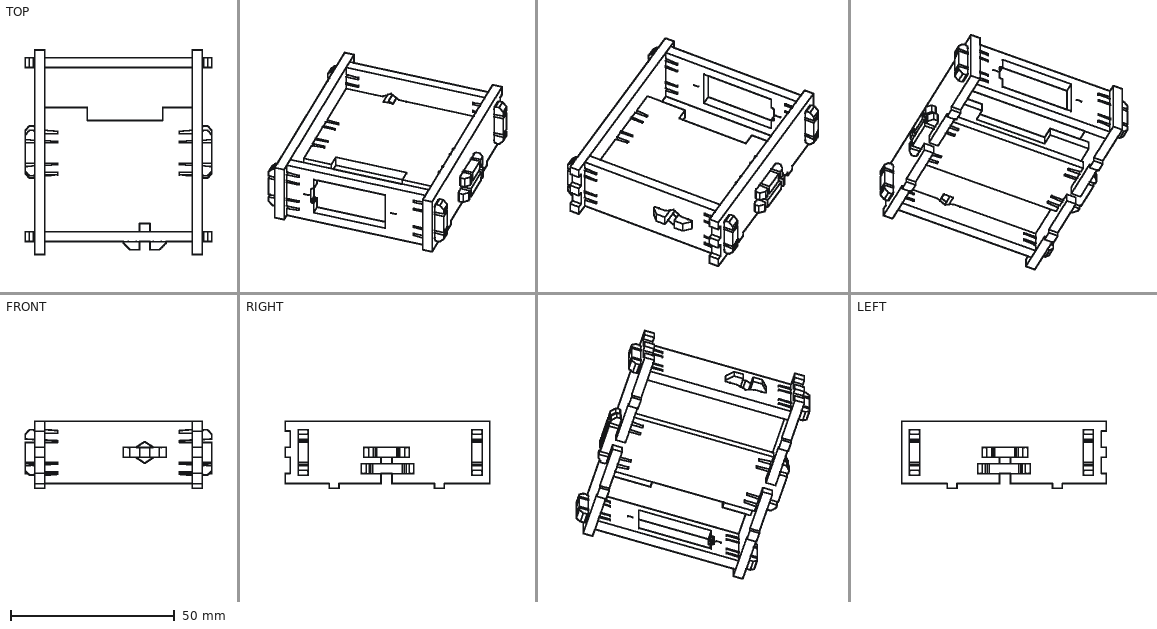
import cadquery as cq
SHEET = 3.05
LENGTH = 62.5
INNER_HALF = 22.5
OUTER_HALF = INNER_HALF + SHEET
TOP_Z = 20.5
FOOT_HEIGHT = 1.45
FOOT_CENTRES = (15.8, -16.3)
TIP_X = 28.5
MID_Z = 10.95

FINGER_NOTCH_DEPTH = 1.5
FINGER_NOTCH_HEIGHT = 4.9
FINGER_NOTCH_BOTTOMS = (4.55, 12.55)

SIDE_SLOT_WIDTH = 3.25
SIDE_SLOT_Y = -0.3

FRONT_Y = -25.75
BACK_Y = 27.3

SHELF_Z = MID_Z
SHELF_BACK_Y = 13.7
SHELF_FRONT_Y = FRONT_Y + SHEET / 2
SHELF_NOTCH_LEFT_X = -9.5
SHELF_NOTCH_RIGHT_X = 13.5
SHELF_NOTCH_DEPTH = 3.95
SHELF_TAB_Y = -0.25

HOOK_X = 8.0
HOOK_SLOT_HALF = 1.55
HOOK_SLOT_END_Y = -21.8
HOOK_NECK_HALF = 5.0
HOOK_BARB_HALF = 6.5
HOOK_TIP_HALF = 4.5
HOOK_TIP_Y = -29.8
HOOK_BARB_END_Y = -27.75
HOOK_HOLE_HALF_HEIGHT = 3.25

CROSSBAR_Z = 6.0
CROSSBAR_Y = 0.05
CROSSBAR_HALF = 9.6

WINDOW_LEFT_X = -9.45
WINDOW_RIGHT_X = 13.75
WINDOW_BOTTOM_Z = 4.7
WINDOW_TOP_Z = 17.25
WINDOW_NOTCH_DEPTH = 1.0
WINDOW_NOTCH_HALF = 2.75
WINDOW_NOTCH_CHAMFER = 0.45

CUT_WIDTH = 1.6
CUT_HEIGHT = 0.05
CUT_CENTRES = (-12.1, 16.1)

BARB_OVERHANG = 1.0
BARB_TAPER = 1.45
BARB_TAPER_RUN = 1.3
BARB_BACK_TAPER = 0.3
BARB_BACK_RUN = 0.45
RELIEF_ROOT_GAP = 0.7
SLIT_DEPTH = 3.95
SLIT_END_X = INNER_HALF - SLIT_DEPTH


class SnapTab:
    """Half widths of a tab, and the gap beside its tongue at the tip and at the closed end."""

    def __init__(self, barb_half, tongue_half, tip_gap, root_gap):
        self.barb_half = barb_half
        self.hole_half = barb_half - BARB_OVERHANG
        self.tongue_half = tongue_half
        self.tip_gap = tip_gap
        self.root_gap = root_gap


SMALL_TAB = SnapTab(barb_half=6.95, tongue_half=3.05, tip_gap=1.0, root_gap=0.5)
WIDE_TAB = SnapTab(barb_half=8.0, tongue_half=4.5, tip_gap=1.1, root_gap=0.6)


def box(x0, x1, y0, y1, z0, z1):
    return cq.Workplane("XY").box(x1 - x0, y1 - y0, z1 - z0, centered=False).translate((x0, y0, z0))


def flat_slab(points, base):
    """One sheet thickness of an XY outline, standing on the height `base`."""
    return cq.Workplane("XY").polyline(points).close().extrude(SHEET).translate((0, 0, base))


def upright_slab(points, y):
    """One sheet thickness of an XZ outline, centred on the plane `y`."""
    return cq.Workplane("XZ", origin=(0, y + SHEET / 2, 0)).polyline(points).close().extrude(SHEET)


def add_snap_tabs(plate, tab, centre, base):
    """Add one tab at each X end of a flat plate."""
    barbed_half = [
        (INNER_HALF, tab.hole_half),
        (OUTER_HALF, tab.hole_half),
        (OUTER_HALF, tab.barb_half - BARB_BACK_TAPER),
        (OUTER_HALF + BARB_BACK_RUN, tab.barb_half),
        (TIP_X - BARB_TAPER_RUN, tab.barb_half),
        (TIP_X, tab.barb_half - BARB_TAPER),
    ]
    barbed_end = barbed_half + [(x, -y) for x, y in reversed(barbed_half)]
    inner_gap = [
        (SLIT_END_X, tab.tongue_half),
        (TIP_X, tab.tongue_half),
        (TIP_X, tab.tongue_half + tab.tip_gap),
        (SLIT_END_X, tab.tongue_half + tab.root_gap),
    ]
    relief = [
        (SLIT_END_X, tab.hole_half),
        (INNER_HALF, tab.hole_half),
        (INNER_HALF, tab.barb_half),
        (SLIT_END_X, tab.hole_half + RELIEF_ROOT_GAP),
    ]
    for side in (-1, 1):
        plate = plate.union(flat_slab([(side * x, centre + y) for x, y in barbed_end], base))
        for way in (-1, 1):
            for outline in (inner_gap, relief):
                slit = [(side * x, centre + way * y) for x, y in outline]
                plate = plate.cut(flat_slab(slit, base))
    return plate


def side_plate(side):
    """Upright plate with feet, a fingered front edge and the holes for the snap tabs."""
    x0, x1 = sorted((side * INNER_HALF, side * OUTER_HALF))
    front_edge = -LENGTH / 2

    def through(y, half_y, z, half_z):
        return box(x0, x1, y - half_y, y + half_y, z - half_z, z + half_z)

    plate = box(x0, x1, front_edge, LENGTH / 2, FOOT_HEIGHT, TOP_Z)
    for y in FOOT_CENTRES:
        plate = plate.union(through(y, SHEET / 2, FOOT_HEIGHT / 2, FOOT_HEIGHT / 2))
    for z in FINGER_NOTCH_BOTTOMS:
        notch_end = front_edge + FINGER_NOTCH_DEPTH
        plate = plate.cut(box(x0, x1, front_edge, notch_end, z, z + FINGER_NOTCH_HEIGHT))
    plate = plate.cut(through(SIDE_SLOT_Y, SIDE_SLOT_WIDTH / 2, SHELF_Z / 2, SHELF_Z / 2))
    for y in (FRONT_Y, BACK_Y):
        plate = plate.cut(through(y, SHEET / 2, MID_Z, SMALL_TAB.hole_half))
    plate = plate.cut(through(SHELF_TAB_Y, SMALL_TAB.hole_half, SHELF_Z, SHEET / 2))
    return plate.cut(through(CROSSBAR_Y, WIDE_TAB.hole_half, CROSSBAR_Z, SHEET / 2))


def end_plate(y):
    """Plate with snap tabs, made flat with its height along Y and then stood up."""
    base = -SHEET / 2
    flat = box(-INNER_HALF, INNER_HALF, FOOT_HEIGHT, TOP_Z, base, base + SHEET)
    flat = add_snap_tabs(flat, SMALL_TAB, MID_Z, base)
    return flat.rotate((0, 0, 0), (1, 0, 0), 90).translate((0, y, 0))


def front_plate():
    """End plate with a hole for the shelf hook, widened by a diamond."""
    left = HOOK_X - HOOK_NECK_HALF
    right = HOOK_X + HOOK_NECK_HALF
    hook_hole = box(left, right, FRONT_Y - SHEET / 2, FRONT_Y + SHEET / 2,
                    SHELF_Z - SHEET / 2, SHELF_Z + SHEET / 2)
    diamond = upright_slab([
        (left, MID_Z),
        (HOOK_X, MID_Z + HOOK_HOLE_HALF_HEIGHT),
        (right, MID_Z),
        (HOOK_X, MID_Z - HOOK_HOLE_HALF_HEIGHT),
    ], FRONT_Y)
    return end_plate(FRONT_Y).cut(hook_hole).cut(diamond)


def back_plate():
    """End plate with a window, recessed on its right edge, and a thin cut on either side."""
    notch_x = WINDOW_RIGHT_X + WINDOW_NOTCH_DEPTH
    chamfer_x = notch_x - WINDOW_NOTCH_CHAMFER
    chamfer_half = WINDOW_NOTCH_HALF - WINDOW_NOTCH_CHAMFER
    window = upright_slab([
        (WINDOW_LEFT_X, WINDOW_BOTTOM_Z),
        (WINDOW_RIGHT_X, WINDOW_BOTTOM_Z),
        (WINDOW_RIGHT_X, MID_Z - WINDOW_NOTCH_HALF),
        (chamfer_x, MID_Z - WINDOW_NOTCH_HALF),
        (notch_x, MID_Z - chamfer_half),
        (notch_x, MID_Z + chamfer_half),
        (chamfer_x, MID_Z + WINDOW_NOTCH_HALF),
        (WINDOW_RIGHT_X, MID_Z + WINDOW_NOTCH_HALF),
        (WINDOW_RIGHT_X, WINDOW_TOP_Z),
        (WINDOW_LEFT_X, WINDOW_TOP_Z),
    ], BACK_Y)
    plate = end_plate(BACK_Y).cut(window)
    for x in CUT_CENTRES:
        plate = plate.cut(box(x - CUT_WIDTH / 2, x + CUT_WIDTH / 2,
                              BACK_Y - SHEET / 2, BACK_Y + SHEET / 2,
                              MID_Z - CUT_HEIGHT / 2, MID_Z + CUT_HEIGHT / 2))
    return plate


def shelf():
    """Upper plate with side tabs, a notch in its back edge and a split hook at the front."""
    base = SHELF_Z - SHEET / 2
    top = base + SHEET
    plate = box(-INNER_HALF, INNER_HALF, SHELF_FRONT_Y, SHELF_BACK_Y, base, top)
    plate = plate.cut(box(SHELF_NOTCH_LEFT_X, SHELF_NOTCH_RIGHT_X,
                          SHELF_BACK_Y - SHELF_NOTCH_DEPTH, SHELF_BACK_Y, base, top))
    plate = add_snap_tabs(plate, SMALL_TAB, SHELF_TAB_Y, base)

    front_face_y = FRONT_Y - SHEET / 2
    hook_half = [
        (HOOK_NECK_HALF, SHELF_FRONT_Y),
        (HOOK_NECK_HALF, front_face_y),
        (HOOK_BARB_HALF, front_face_y),
        (HOOK_BARB_HALF, HOOK_BARB_END_Y),
        (HOOK_TIP_HALF, HOOK_TIP_Y),
    ]
    hook = [(HOOK_X + x, y) for x, y in hook_half]
    hook += [(HOOK_X - x, y) for x, y in reversed(hook_half)]
    plate = plate.union(flat_slab(hook, base))
    return plate.cut(box(HOOK_X - HOOK_SLOT_HALF, HOOK_X + HOOK_SLOT_HALF,
                         HOOK_TIP_Y, HOOK_SLOT_END_Y, base, top))


def crossbar():
    """Lower plate, a plain bar between the side plates with wide snap tabs."""
    base = CROSSBAR_Z - SHEET / 2
    bar = box(-INNER_HALF, INNER_HALF, CROSSBAR_Y - CROSSBAR_HALF, CROSSBAR_Y + CROSSBAR_HALF,
              base, base + SHEET)
    return add_snap_tabs(bar, WIDE_TAB, CROSSBAR_Y, base)


side_plates = [side_plate(side) for side in (-1, 1)]
result = cq.Compound.makeCompound([
    *[plate.val() for plate in side_plates],
    front_plate().val(),
    back_plate().val(),
    shelf().val(),
    crossbar().val(),
])